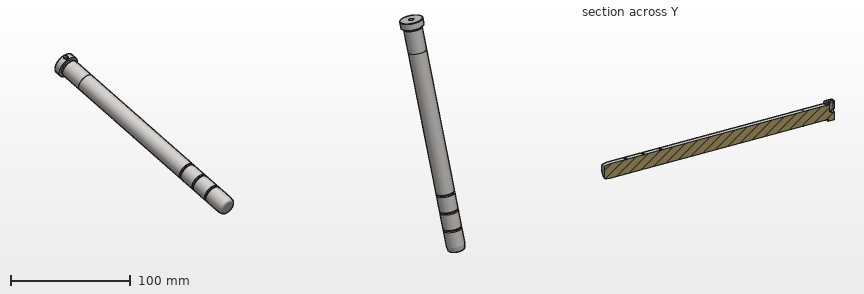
import cadquery as cq
import math

total_length = 210.0
head_diameter = 20.0
head_length = 6.0
head_chamfer = 0.5
shaft_diameter = 16.0
fit_length = 22.5
fit_clearance = 0.02

relief_length = 2.0
relief_depth = 0.5

groove_count = 3
groove_pitch = 16.0
groove_width = 2.0
groove_depth = 0.5
groove_to_tip = 20.0

nose_length = 5.0
nose_radius = 2.0
nose_angle = 10.0

grease_diameter = 2.6
grease_mouth_diameter = 4.5
countersink_slope = 45.0

head_radius = head_diameter / 2
shaft_radius = shaft_diameter / 2
running_radius = shaft_radius - fit_clearance
relief_radius = shaft_radius - relief_depth
relief_end = head_length + relief_length
fit_end = head_length + fit_length
grease_crossing_x = head_length / 2


def revolve_about_axis(profile):
    """Full turn of a closed XZ profile about the pin axis."""
    return profile.revolve(360, (0, 0, 0), (1, 0, 0))


def turned_body():
    """Head, relief, fit shank and running shank with its tapered, rounded nose."""
    nose_start = total_length - nose_length
    tip_radius = running_radius - nose_length * math.tan(math.radians(nose_angle))
    profile = (
        cq.Workplane("XZ")
        .lineTo(0, head_radius - head_chamfer)
        .lineTo(head_chamfer, head_radius)
        .lineTo(head_length, head_radius)
        .lineTo(head_length, relief_radius)
        .lineTo(relief_end - relief_depth, relief_radius)
        .lineTo(relief_end, shaft_radius)
        .lineTo(fit_end, shaft_radius)
        .lineTo(fit_end, running_radius)
        .lineTo(nose_start, running_radius)
        .lineTo(total_length, tip_radius)
        .lineTo(total_length, 0)
        .close()
    )
    return revolve_about_axis(profile).faces(">X").edges().fillet(nose_radius)


def oil_groove(center_x):
    """Ring of triangular section that cuts one oil groove."""
    half_width = groove_width / 2
    profile = (
        cq.Workplane("XZ")
        .moveTo(center_x - half_width, shaft_radius)
        .lineTo(center_x, shaft_radius - groove_depth)
        .lineTo(center_x + half_width, shaft_radius)
        .close()
    )
    return revolve_about_axis(profile)


def grease_hole(mouth_plane, depth):
    """Drilled hole with a countersunk mouth, going inward against the plane normal."""
    rim_width = (grease_mouth_diameter - grease_diameter) / 2
    countersink_depth = rim_width / math.tan(math.radians(countersink_slope))
    drill = mouth_plane.circle(grease_diameter / 2).extrude(-depth)
    countersink = mouth_plane.circle(grease_mouth_diameter / 2).extrude(
        -countersink_depth, taper=countersink_slope
    )
    return drill.union(countersink)


result = turned_body()

for index in range(groove_count):
    groove_x = total_length - groove_to_tip - index * groove_pitch
    result = result.cut(oil_groove(groove_x))

head_face = cq.Workplane(cq.Plane(origin=(0, 0, 0), xDir=(0, 1, 0), normal=(-1, 0, 0)))
head_top = cq.Workplane("XY", origin=(grease_crossing_x, 0, head_radius))
result = result.cut(grease_hole(head_face, grease_crossing_x))
result = result.cut(grease_hole(head_top, head_radius))